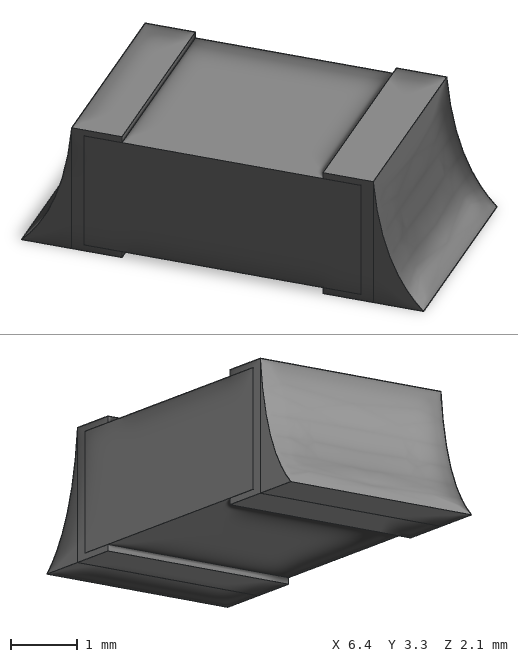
import cadquery as cq

total_length = 6.4
width = 3.3
height = 2.1
solder_reach = 0.8
cap_length = 0.8
cap_end_wall = 0.2
cap_plate = 0.1
solder_pull_x = 0.13
solder_pull_z = 0.64

cap_outer_x = total_length / 2 - solder_reach
core_length = 2 * (cap_outer_x - cap_end_wall)
core_height = height - 2 * cap_plate


def make_core():
    """Plain block held between the two end caps."""
    return cq.Workplane("XY").box(core_length, width, core_height).translate((0, 0, height / 2))


def make_end_cap(side):
    """C-shaped cap, open at both Y faces, wrapped around one end of the core."""
    cap_center_x = side * (cap_outer_x - cap_length / 2)
    block = cq.Workplane("XY").box(cap_length, width, height)
    return block.translate((cap_center_x, 0, height / 2)).cut(make_core())


def make_solder_fillet(side):
    """Concave solder wedge, its curve steep at the cap's top edge and flatter at the toe."""
    cap_top = (side * cap_outer_x, height)
    control_point = (side * (cap_outer_x + solder_pull_x), solder_pull_z)
    toe = (side * total_length / 2, 0)
    return (
        cq.Workplane("XZ", origin=(0, width / 2, 0))
        .moveTo(side * cap_outer_x, 0)
        .lineTo(*cap_top)
        .bezier([cap_top, control_point, toe])
        .close()
        .extrude(width)
    )


core = make_core()
end_caps = [make_end_cap(side) for side in (-1, 1)]
solder_fillets = [make_solder_fillet(side) for side in (-1, 1)]

result = cq.Compound.makeCompound([body.val() for body in [core, *end_caps, *solder_fillets]])